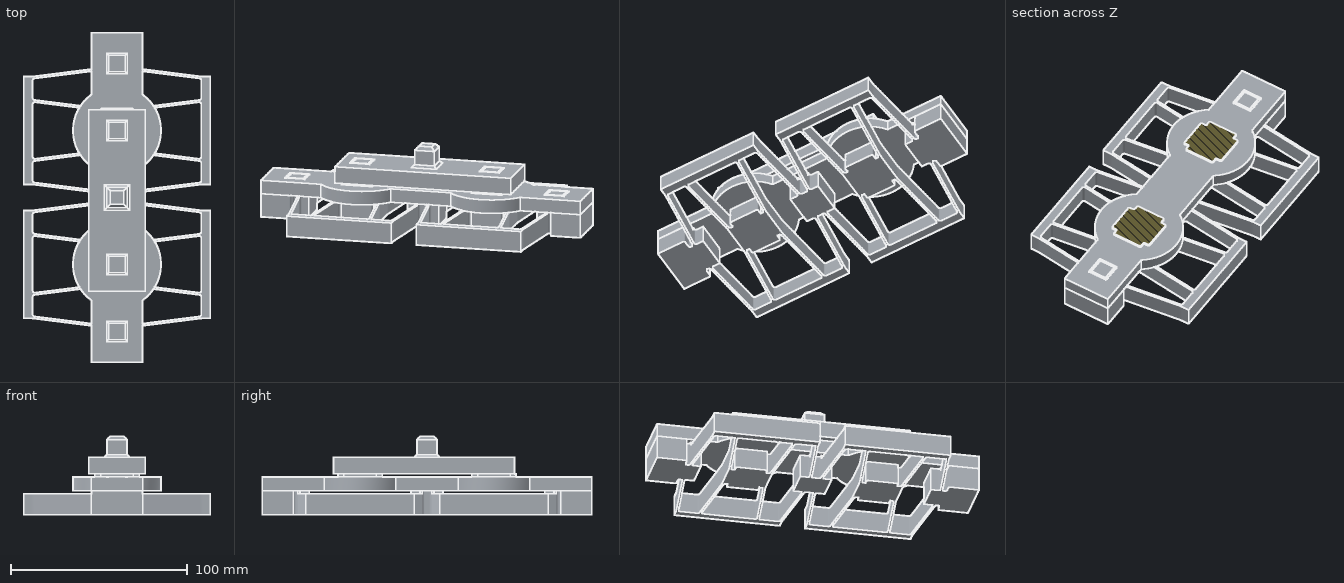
import cadquery as cq
pitch = 37.9
unit_centers = (-pitch, pitch)
end_peg_centers = (-2 * pitch, 2 * pitch)
overall_length = 186.7

clearance = 1.7
frame_height = 12.0
block_height = frame_height + clearance
plate_thickness = 7.8
plate_top = block_height + plate_thickness
boss_top = plate_top + clearance
bar_thickness = 9.5
bar_top = boss_top + bar_thickness

cross_size = 25.2
arm_width = 18.3
corner_radius = 1.0

overall_width = 105.9
rail_width = 5.2
rail_length = 61.2
rail_inner_x = overall_width / 2 - rail_width
leaf_thickness = 1.3
stub_reach = 11.2
leaf_rise = 4.9
root_radius = 1.1
blend_radius = 13.5
block_width = 29.1
block_length = 17.5
neck_width = arm_width
neck_tip_distance = pitch - arm_width / 2

disc_radius = 25.0

bar_width = 32.1
bar_reach_front = 53.0
bar_reach_back = 49.7

peg_size = 11.5
joint_peg_chamfer = 1.1
drive_peg_height = 12.0
tip_chamfer = 2.0
flare = 1.5


def slab(width, length, height, y=0.0, z=0.0):
    """Box centered on X = 0 and on the given y, standing on height z."""
    return cq.Workplane("XY").box(width, length, height, centered=(True, True, False)).translate((0, y, z))


def with_mirror(body, plane):
    """A body joined with its mirror image."""
    return body.union(body.mirror(plane))


def rounded_arm(width, length, height):
    """Box with its four upright corners rounded."""
    return slab(width, length, height).edges("|Z").fillet(corner_radius)


def leaf(inner_y, outer_y, height):
    """Slanted leaf on the +X side; inner_y and outer_y place its outward face at its two roots."""
    inner_x = arm_width / 2
    slope = (outer_y - inner_y) / (rail_inner_x - inner_x)
    embed = rail_width / 2
    start_x, start_y = inner_x - embed, inner_y - embed * slope
    end_x, end_y = rail_inner_x + embed, outer_y + embed * slope
    return (
        cq.Workplane("XY")
        .polyline([
            (start_x, start_y),
            (end_x, end_y),
            (end_x, end_y - leaf_thickness),
            (start_x, start_y - leaf_thickness),
        ])
        .close()
        .extrude(height)
    )


def leaf_relief():
    """Space above the frame, outside the full-height stubs at the necks."""
    relief_width = overall_width / 2 - stub_reach
    relief = slab(relief_width, overall_length, clearance, 0, frame_height)
    return relief.translate((stub_reach + relief_width / 2, 0, 0))


def flexure_quarter():
    """Half a rail with one outer and one inner leaf, for a unit centered on the origin."""
    rail_end = rail_length / 2
    shuttle_end = cross_size / 2
    rail = slab(rail_width, rail_end, frame_height, rail_end / 2)
    rail = rail.translate((rail_inner_x + rail_width / 2, 0, 0))
    outer_leaf = leaf(rail_end + leaf_rise, rail_end, block_height)
    outer_leaf = outer_leaf.cut(leaf_relief())
    inner_leaf = leaf(shuttle_end, shuttle_end + leaf_rise, frame_height)
    return rail.union(outer_leaf).union(inner_leaf)


def flexure_unit(y):
    """Two rails, eight leaves and the cross-shaped central shuttle."""
    frame = with_mirror(with_mirror(flexure_quarter(), "XZ"), "YZ")
    shuttle = rounded_arm(cross_size, arm_width, frame_height)
    shuttle = shuttle.union(slab(arm_width, cross_size, frame_height))
    return frame.union(shuttle).translate((0, y, 0))


def end_block():
    """Wide block at the +Y end with a narrower neck that carries the outer leaves."""
    block_end = overall_length / 2
    neck_tip = pitch + neck_tip_distance
    block = slab(block_width, block_length, block_height, block_end - block_length / 2)
    block = block.edges("|Z and <Y").fillet(corner_radius)
    neck = slab(neck_width, block_end - neck_tip, block_height, (block_end + neck_tip) / 2)
    return block.union(neck)


def is_near(value, *targets):
    return any(abs(value - target) < 0.02 for target in targets)


def is_blend(edge):
    """Shallow corner where a leaf runs out of the end of a rail or of a shuttle."""
    x = abs(edge.Center().x)
    unit_y = abs(abs(edge.Center().y) - pitch)
    at_rail_end = is_near(x, rail_inner_x) and is_near(unit_y, rail_length / 2)
    at_shuttle_end = is_near(x, arm_width / 2) and is_near(unit_y, cross_size / 2)
    return at_rail_end or at_shuttle_end


def is_rail_root(edge):
    """Inside corner where a leaf meets the inner wall of a rail."""
    return is_near(abs(edge.Center().x), rail_inner_x) and not is_blend(edge)


def is_center_root(edge):
    """Inside corner on the wall of a neck or shuttle, where a leaf or an end block meets it."""
    unit_y = abs(abs(edge.Center().y) - pitch)
    at_free_corner = is_near(unit_y, neck_tip_distance, arm_width / 2)
    at_wall = is_near(abs(edge.Center().x), arm_width / 2)
    return at_wall and not (at_free_corner or is_blend(edge))


def joint_peg(y, z, height):
    """Square peg with a chamfered end that finishes flush with the layer it locates."""
    return slab(peg_size, peg_size, height, y, z).faces(">Z").chamfer(joint_peg_chamfer)


def joint_hole(y, z, depth):
    """Through hole that fits a joint peg."""
    return slab(peg_size, peg_size, depth, y, z)


def drive_peg():
    """Peg on top of the bar, with a chamfered tip and a flared foot."""
    peg = slab(peg_size, peg_size, drive_peg_height, 0, bar_top).faces(">Z").chamfer(tip_chamfer)
    foot_size = peg_size + 2 * flare
    foot = (
        cq.Workplane("XY", origin=(0, 0, bar_top))
        .rect(foot_size, foot_size)
        .workplane(offset=flare)
        .rect(peg_size, peg_size)
        .loft()
    )
    return peg.union(foot)


def make_base():
    """Flexure base: two spring units between the end blocks and the center neck."""
    center_neck = slab(neck_width, 2 * (pitch - neck_tip_distance), block_height)
    base = with_mirror(end_block(), "XZ").union(center_neck)
    for y in unit_centers:
        base = base.union(flexure_unit(y))
    base = base.edges("|Z").filter(is_rail_root).fillet(root_radius)
    base = base.edges("|Z").filter(is_center_root).fillet(root_radius)
    base = base.edges("|Z").filter(is_blend).fillet(blend_radius)
    for y in end_peg_centers:
        base = base.union(joint_peg(y, block_height, plate_thickness))
    return base


def cross_boss(y):
    """Low cross-shaped spacer that keeps the bar clear of the plate."""
    arms = rounded_arm(cross_size, arm_width, clearance).union(rounded_arm(arm_width, cross_size, clearance))
    return arms.translate((0, y, plate_top))


def make_plate():
    """Plate with two discs, each with a spacer boss and a peg for the bar."""
    plate = slab(block_width, overall_length, plate_thickness, 0, block_height)
    for y in unit_centers:
        disc = cq.Workplane("XY", origin=(0, y, block_height)).circle(disc_radius).extrude(plate_thickness)
        plate = plate.union(disc).union(cross_boss(y)).union(joint_peg(y, boss_top, bar_thickness))
    for y in end_peg_centers:
        plate = plate.cut(joint_hole(y, block_height, plate_thickness))
    return plate


def make_bar():
    """Bar that rides on both bosses and carries the drive peg."""
    bar_length = bar_reach_front + bar_reach_back
    bar_center = (bar_reach_back - bar_reach_front) / 2
    bar = slab(bar_width, bar_length, bar_thickness, bar_center, boss_top)
    for y in unit_centers:
        bar = bar.cut(joint_hole(y, boss_top, bar_thickness))
    return bar.union(drive_peg())


base = make_base()
plate = make_plate()
bar = make_bar()

result = cq.Compound.makeCompound([base.val(), plate.val(), bar.val()])